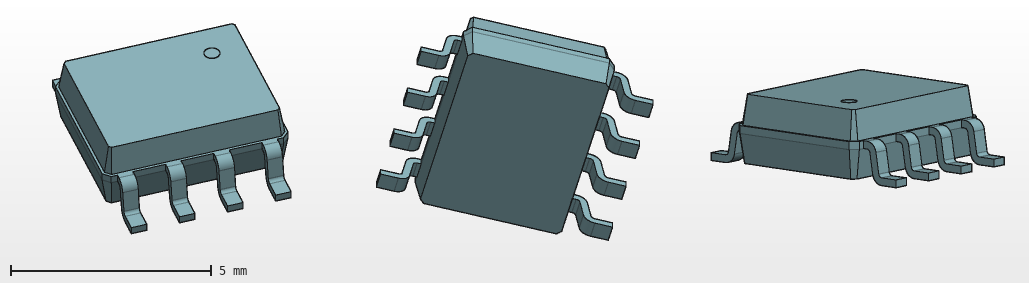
import cadquery as cq
import math

overall_width = 6.0
body_width = 3.9
body_length = 4.91
body_bottom = 0.1
body_top = 1.85
rim_height = 0.2
rim_corner = 0.18
cap_step = 0.075
cap_draft = 9.0
base_draft = 9.0

leads_per_side = 4
lead_pitch = 1.27
lead_width = 0.41
lead_thickness = rim_height
bend_inner_radius = 0.1
leg_angle = 9.5
foot_flat_length = 0.46
lead_embed = 0.2

mark_radius = 0.2
mark_depth = 0.01
mark_edge_distance = 0.9

rim_bottom = (body_bottom + body_top - rim_height) / 2
rim_top = rim_bottom + rim_height
cap_inset = cap_step + (body_top - rim_top) * math.tan(math.radians(cap_draft))
base_inset = (rim_bottom - body_bottom) * math.tan(math.radians(base_draft))


def body_section(z, inset):
    """Closed outline at height z: the rim outline, clipped corners included, offset inward by inset."""
    corner = rim_corner - inset * (2 - math.sqrt(2))
    half_x = body_width / 2 - inset
    half_y = body_length / 2 - inset
    points = [
        (half_x, half_y - corner),
        (half_x - corner, half_y),
        (corner - half_x, half_y),
        (-half_x, half_y - corner),
        (-half_x, corner - half_y),
        (corner - half_x, -half_y),
        (half_x - corner, -half_y),
        (half_x, corner - half_y),
    ]
    return cq.Wire.makePolygon([cq.Vector(x, y, z) for x, y in points], close=True)


def body_layer(z_low, inset_low, z_high, inset_high):
    """Straight-sided block between two sections of the body."""
    sections = [body_section(z_low, inset_low), body_section(z_high, inset_high)]
    return cq.Workplane(obj=cq.Solid.makeLoft(sections, True))


def make_body():
    base = body_layer(body_bottom, base_inset, rim_bottom, 0)
    rim = body_layer(rim_bottom, 0, rim_top, 0)
    cap = body_layer(rim_top, cap_step, body_top, cap_inset)
    return base.union(rim).union(cap)


def make_left_lead():
    """One lead on the -X side, centred on Y = 0, with two concentric bends joined by a sloping leg."""
    angle = math.radians(leg_angle)
    inner = bend_inner_radius
    outer = inner + lead_thickness

    tip_x = -overall_width / 2
    foot_x = tip_x + foot_flat_length
    foot_z = lead_thickness + inner
    shoulder_z = rim_top - outer
    leg_length = (shoulder_z - foot_z + (inner + outer) * math.sin(angle)) / math.cos(angle)
    shoulder_x = foot_x + (inner + outer) * math.cos(angle) + leg_length * math.sin(angle)
    inside_x = -body_width / 2 + lead_embed

    half_bend = (math.pi / 2 + angle) / 2

    def foot_bend(radius, turn):
        return (foot_x + radius * math.cos(turn), foot_z + radius * math.sin(turn))

    def shoulder_bend(radius, turn):
        return (shoulder_x - radius * math.cos(turn), shoulder_z - radius * math.sin(turn))

    profile = (
        cq.Workplane("XZ")
        .moveTo(tip_x, 0)
        .lineTo(foot_x, 0)
        .threePointArc(foot_bend(outer, half_bend - math.pi / 2), foot_bend(outer, -angle))
        .lineTo(*shoulder_bend(inner, -angle))
        .threePointArc(shoulder_bend(inner, -math.pi / 2 + half_bend), shoulder_bend(inner, -math.pi / 2))
        .lineTo(inside_x, rim_bottom)
        .lineTo(inside_x, rim_top)
        .lineTo(*shoulder_bend(outer, -math.pi / 2))
        .threePointArc(shoulder_bend(outer, -math.pi / 2 + half_bend), shoulder_bend(outer, -angle))
        .lineTo(*foot_bend(inner, -angle))
        .threePointArc(foot_bend(inner, half_bend - math.pi / 2), foot_bend(inner, -math.pi / 2))
        .lineTo(tip_x, lead_thickness)
        .close()
    )
    return profile.extrude(lead_width / 2, both=True)


def add_leads(part):
    left_lead = make_left_lead()
    right_lead = left_lead.mirror("YZ")
    for index in range(leads_per_side):
        y = (index - (leads_per_side - 1) / 2) * lead_pitch
        part = part.union(left_lead.translate((0, y, 0)))
        part = part.union(right_lead.translate((0, y, 0)))
    return part


def cut_pin_mark(part):
    """Shallow round recess near the (-X, +Y) corner of the top face."""
    mark_x = cap_inset + mark_edge_distance - body_width / 2
    mark_y = body_length / 2 - cap_inset - mark_edge_distance
    recess = (
        cq.Workplane("XY", origin=(mark_x, mark_y, body_top - mark_depth))
        .circle(mark_radius)
        .extrude(mark_depth)
    )
    return part.cut(recess)


result = cut_pin_mark(add_leads(make_body()))